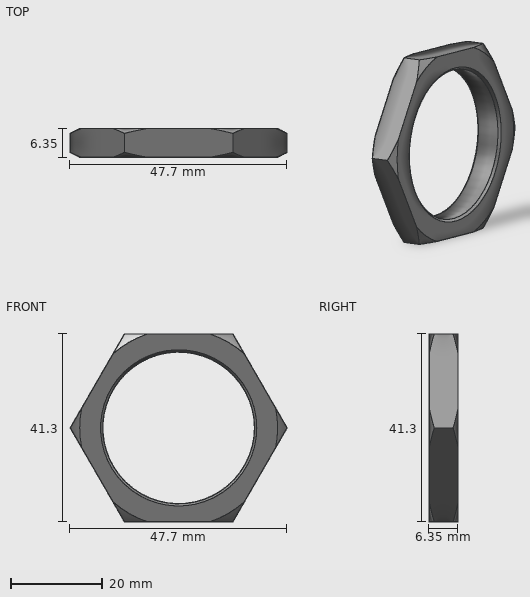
import cadquery as cq

corner_diameter = 47.65
thickness = 6.35
bore_radius = 16.65
bore_chamfer = 0.52
face_radius = 21.75
corner_chamfer_depth = 1.1

corner_radius = corner_diameter / 2
half_thickness = thickness / 2


def hexagonal_prism():
    return (
        cq.Workplane("XZ")
        .polygon(6, corner_diameter)
        .extrude(half_thickness, both=True)
    )


def revolve_about_y(half_profile):
    """Revolve a (radius, y) outline around the nut axis."""
    return (
        cq.Workplane("XY")
        .polyline(half_profile)
        .close()
        .revolve(360, (0, 0, 0), (0, 1, 0))
    )


def corner_chamfer_envelope():
    """Double-coned disc that trims the hexagon corners on both faces."""
    shoulder = half_thickness - corner_chamfer_depth
    return revolve_about_y([
        (0, -half_thickness),
        (face_radius, -half_thickness),
        (corner_radius, -shoulder),
        (corner_radius, shoulder),
        (face_radius, half_thickness),
        (0, half_thickness),
    ])


def chamfered_bore():
    """Through bore with a 45 degree countersink at both ends."""
    mouth_radius = bore_radius + bore_chamfer
    bore_end = half_thickness - bore_chamfer
    return revolve_about_y([
        (0, -half_thickness),
        (mouth_radius, -half_thickness),
        (bore_radius, -bore_end),
        (bore_radius, bore_end),
        (mouth_radius, half_thickness),
        (0, half_thickness),
    ])


result = hexagonal_prism().intersect(corner_chamfer_envelope()).cut(chamfered_bore())